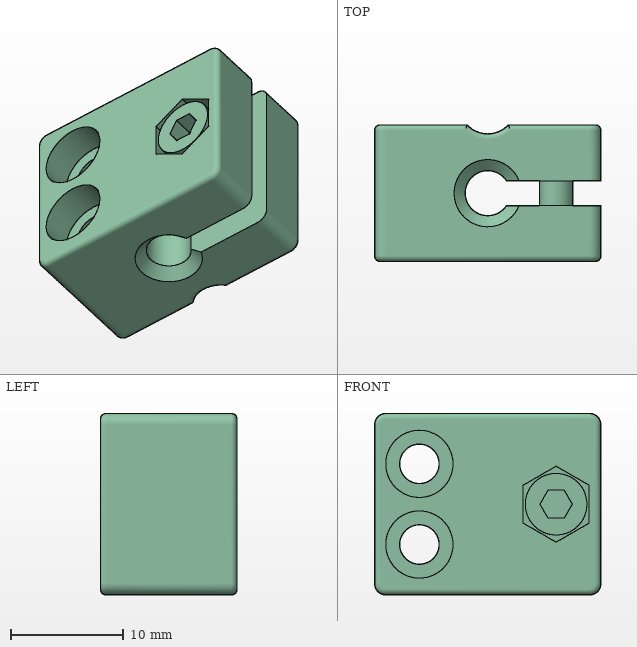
import cadquery as cq
import math

LENGTH = 20.2
DEPTH = 12.2
HEIGHT = 16.2
SIDE_RADIUS = 1.0
FACE_RADIUS = 0.5
FRONT = -DEPTH / 2
BACK = DEPTH / 2
TOP = HEIGHT / 2
FEATURE_INSET = 4.0

BORE_DIAMETER = 4.0
BORE_MOUTH_DIAMETER = 6.0
SLOT_WIDTH = 2.2

GROOVE_DIAMETER = 5.0
GROOVE_DEPTH = 0.8
GROOVE_ROUNDING = 0.5

MOUNT_DIAMETER = 3.5
MOUNT_COUNTERBORE_DIAMETER = 6.0
MOUNT_COUNTERBORE_DEPTH = 3.0
MOUNT_SPACING = 7.2
MOUNT_X = -LENGTH / 2 + FEATURE_INSET

SCREW_X = LENGTH / 2 - FEATURE_INSET
SCREW_DIAMETER = 3.0
HEAD_DIAMETER = 5.5
HEAD_RECESS = 0.1
SOCKET_FLATS = 2.5
SOCKET_DEPTH = 2.0
POCKET_FLATS = 5.87
POCKET_DEPTH = 3.0


def front_plane(x, z, depth=0.0):
    """Plane at a given depth below the front face, with its normal pointing into the block."""
    return cq.Workplane(cq.Plane((x, FRONT + depth, z), xDir=(1, 0, 0), normal=(0, 1, 0)))


def circumdiameter(flats):
    """Corner-to-corner size of a hexagon with the given size across flats."""
    return flats / math.cos(math.pi / 6)


def rounded_block():
    """Block centred on the origin, with rounded edges."""
    block = cq.Workplane("XY").box(LENGTH, DEPTH, HEIGHT)
    block = block.edges("|Y").fillet(SIDE_RADIUS)
    return block.faces("<Y or >Y").edges().fillet(FACE_RADIUS)


def mounting_hole(z):
    """Through hole with a counterbore in the front face."""
    hole = front_plane(MOUNT_X, z).circle(MOUNT_DIAMETER / 2).extrude(DEPTH)
    counterbore = front_plane(MOUNT_X, z).circle(MOUNT_COUNTERBORE_DIAMETER / 2)
    return hole.union(counterbore.extrude(MOUNT_COUNTERBORE_DEPTH))


def clamp_bore():
    """Vertical through bore with a 45 degree countersink at both ends."""
    bore_radius = BORE_DIAMETER / 2
    mouth_radius = BORE_MOUTH_DIAMETER / 2
    straight_end = TOP - (mouth_radius - bore_radius)
    profile = (
        cq.Workplane("XZ")
        .moveTo(0, -TOP)
        .lineTo(mouth_radius, -TOP)
        .lineTo(bore_radius, -straight_end)
        .lineTo(bore_radius, straight_end)
        .lineTo(mouth_radius, TOP)
        .lineTo(0, TOP)
        .close()
    )
    return profile.revolve(360, (0, 0), (0, 1))


def back_groove():
    """Vertical groove whose mouth flares outward in a quarter round at both ends."""
    radius = GROOVE_DIAMETER / 2
    mouth_radius = radius + GROOVE_ROUNDING
    straight_end = TOP - GROOVE_ROUNDING
    arc_offset = GROOVE_ROUNDING * (1 - math.cos(math.pi / 4))
    profile = (
        cq.Workplane("XZ")
        .moveTo(0, -TOP)
        .lineTo(mouth_radius, -TOP)
        .threePointArc((radius + arc_offset, -TOP + arc_offset), (radius, -straight_end))
        .lineTo(radius, straight_end)
        .threePointArc((radius + arc_offset, TOP - arc_offset), (mouth_radius, TOP))
        .lineTo(0, TOP)
        .close()
    )
    groove = profile.revolve(360, (0, 0), (0, 1))
    return groove.translate((0, BACK + radius - GROOVE_DEPTH, 0))


def clamp_slot():
    """Slot from the clamp bore out through the right-hand end."""
    slot_length = LENGTH / 2
    slot = cq.Workplane("XY").box(slot_length, SLOT_WIDTH, HEIGHT)
    return slot.translate((slot_length / 2, 0, 0))


def screw_pocket():
    """Hexagonal pocket with two flats parallel to the block ends."""
    hexagon = front_plane(SCREW_X, 0).transformed(rotate=(0, 0, 30))
    return hexagon.polygon(6, circumdiameter(POCKET_FLATS)).extrude(POCKET_DEPTH)


def clamp_screw():
    """Socket head seated on the pocket floor, with a shank crossing the slot to its far wall."""
    shank_length = SLOT_WIDTH / 2 - (FRONT + POCKET_DEPTH)
    head = front_plane(SCREW_X, 0, HEAD_RECESS).circle(HEAD_DIAMETER / 2)
    head = head.extrude(POCKET_DEPTH - HEAD_RECESS)
    shank = front_plane(SCREW_X, 0, POCKET_DEPTH).circle(SCREW_DIAMETER / 2).extrude(shank_length)
    socket = front_plane(SCREW_X, 0, HEAD_RECESS).polygon(6, circumdiameter(SOCKET_FLATS))
    return head.union(shank).cut(socket.extrude(SOCKET_DEPTH))


result = rounded_block()
for z in (-MOUNT_SPACING / 2, MOUNT_SPACING / 2):
    result = result.cut(mounting_hole(z))
result = result.cut(clamp_bore())
result = result.cut(back_groove())
result = result.cut(clamp_slot())
result = result.cut(screw_pocket())
result = result.union(clamp_screw())